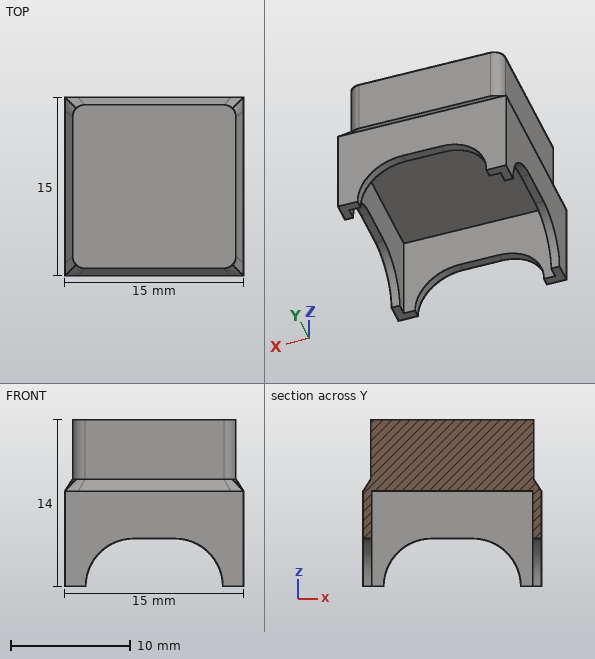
import cadquery as cq
import math

base_side = 15.0
base_height = 8.0
wall = 0.75

cap_side = 13.71
cap_corner_radius = 1.0
shoulder_height = 1.0
total_height = 14.0
cap_height = total_height - base_height - shoulder_height

leg_width = 1.75
arch_radius = 4.0
arch_half_width = base_side / 2 - leg_width
arch_flat_half = arch_half_width - arch_radius


def make_skirt():
    """Square body, hollow and open below."""
    cavity_side = base_side - 2 * wall
    body = cq.Workplane("XY").rect(base_side, base_side).extrude(base_height)
    cavity = cq.Workplane("XY").rect(cavity_side, cavity_side).extrude(base_height)
    return body.cut(cavity)


def quarter_turns(x, y):
    """The point (x, y) turned to each of the four sides, counterclockwise."""
    return [(x, y), (-y, x), (-x, -y), (y, -x)]


def shoulder_base(plane):
    """Sharp square, split so that each edge meets its partner on the rounded square."""
    half = base_side / 2
    split = (cap_side / 2 - cap_corner_radius) * base_side / cap_side
    starts = quarter_turns(half, -split)
    ends = quarter_turns(half, split)
    corners = quarter_turns(half, half)
    points = [point for side in zip(starts, ends, corners) for point in side]
    return plane.polyline(points).close()


def shoulder_top(plane):
    """Rounded square whose corner arcs are each split in the middle."""
    half = cap_side / 2
    straight = half - cap_corner_radius
    middle = straight + cap_corner_radius * math.sqrt(0.5)
    arc_angle = math.radians(22.5)
    near = straight + cap_corner_radius * math.cos(arc_angle)
    far = straight + cap_corner_radius * math.sin(arc_angle)
    starts = quarter_turns(half, -straight)
    ends = quarter_turns(half, straight)
    first_arcs = quarter_turns(near, far)
    middles = quarter_turns(middle, middle)
    second_arcs = quarter_turns(far, near)
    outline = plane.moveTo(*starts[0])
    for side in range(4):
        next_start = starts[(side + 1) % 4]
        outline = outline.lineTo(*ends[side])
        outline = outline.threePointArc(first_arcs[side], middles[side])
        outline = outline.threePointArc(second_arcs[side], next_start)
    return outline.close()


def make_shoulder():
    """Transition from the sharp square to the rounded square."""
    base = shoulder_base(cq.Workplane("XY").workplane(offset=base_height))
    return shoulder_top(base.workplane(offset=shoulder_height)).loft(ruled=True)


def make_cap():
    """Straight-sided block above the shoulder."""
    return (
        cq.Workplane("XY")
        .workplane(offset=base_height + shoulder_height)
        .rect(cap_side, cap_side)
        .extrude(cap_height)
        .edges("|Z")
        .fillet(cap_corner_radius)
    )


def make_arch(plane):
    """Flat-topped opening with quarter-round sides, passing right through."""
    return (
        cq.Workplane(plane)
        .moveTo(-arch_half_width, 0)
        .radiusArc((-arch_flat_half, arch_radius), arch_radius)
        .lineTo(arch_flat_half, arch_radius)
        .radiusArc((arch_half_width, 0), arch_radius)
        .close()
        .extrude(base_side / 2, both=True)
    )


result = make_skirt().union(make_shoulder()).union(make_cap())
for plane in ("XZ", "YZ"):
    result = result.cut(make_arch(plane))